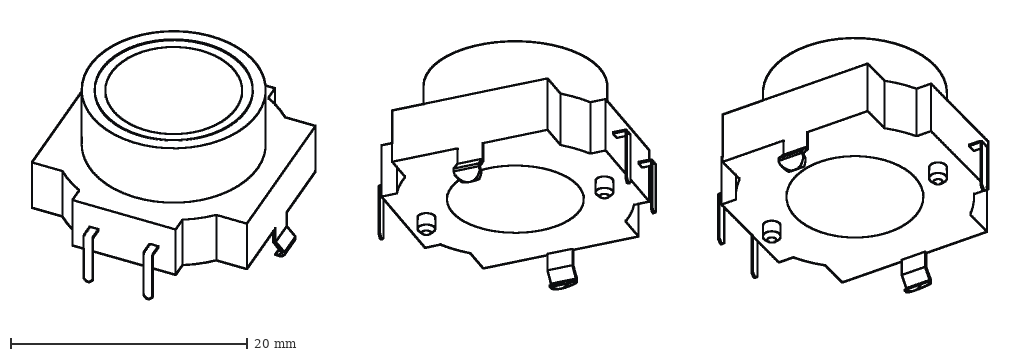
import cadquery as cq

LENGTH_X = 19.95
LENGTH_Y = 20.6
X_BLOCK_WIDTH = 14.25
Y_BLOCK_WIDTH = 9.58
DISC_DIAMETER = 20.19
BASE_HEIGHT = 5.0
TOP_Z = 10.97
COLLAR_DIAMETER = 15.6
RECESS_DIAMETER = 13.4
RECESS_DEPTH = 0.1
BORE_DIAMETER = 11.6

PIN_DIAMETER = 1.5
PIN_LENGTH = 1.48
PIN_CHAMFER = 0.37
PIN_Y = 8.17

LEAD_REACH_Y = 11.58
LEAD_TOP_Z = 2.62
LEAD_TIP_Z = -2.35
LEAD_WIDTH = 0.8
LEAD_THICKNESS = 0.15
LEAD_BEND_RADIUS = 0.19
LEAD_TIP_CHAMFER = 0.29
LEAD_EMBED = 0.23
FRONT_LEAD_X = 2.78
REAR_LEAD_X = -1.97

CLIP_WIDTH = 2.3
CLIP_THICKNESS = 0.23
CLIP_REACH_X = 10.79
CLIP_BEND_Z = -1.5
CLIP_INNER_BEND_Z = -1.6
KNEE_TOP_Z = -2.38
KNEE_BOTTOM_Z = -2.66
KNEE_THICKNESS = 0.28
KNEE_INNER_TOP_Z = -2.5
KNEE_INNER_BOTTOM_Z = -2.6
CLIP_TIP_Z = -3.52
CLIP_TIP_INNER_Z = CLIP_TIP_Z + CLIP_THICKNESS
CLIP_ROUND_START_Z = -2.9


def make_housing():
    x_block = cq.Workplane("XY").rect(LENGTH_X, X_BLOCK_WIDTH).extrude(BASE_HEIGHT)
    y_block = cq.Workplane("XY").rect(Y_BLOCK_WIDTH, LENGTH_Y).extrude(BASE_HEIGHT)
    envelope = cq.Workplane("XY").rect(LENGTH_X, LENGTH_Y).extrude(BASE_HEIGHT)
    disc = cq.Workplane("XY").circle(DISC_DIAMETER / 2).extrude(BASE_HEIGHT).intersect(envelope)
    collar = cq.Workplane("XY").circle(COLLAR_DIAMETER / 2).extrude(TOP_Z)
    bore = cq.Workplane("XY").circle(BORE_DIAMETER / 2).extrude(TOP_Z)
    recess = (
        cq.Workplane("XY", origin=(0, 0, TOP_Z - RECESS_DEPTH))
        .circle(RECESS_DIAMETER / 2)
        .extrude(RECESS_DEPTH)
    )
    return x_block.union(y_block).union(disc).union(collar).cut(bore).cut(recess)


def make_pin(y):
    return (
        cq.Workplane("XY", origin=(0, y, 0))
        .circle(PIN_DIAMETER / 2)
        .extrude(-PIN_LENGTH)
        .faces("<Z")
        .chamfer(PIN_CHAMFER)
    )


def make_lead(x, side):
    """Lead leaving the Y block toward side * Y, then bending straight down."""
    root_y = side * (LENGTH_Y / 2 - LEAD_EMBED)
    outer_y = side * LEAD_REACH_Y
    inner_y = side * (LEAD_REACH_Y - LEAD_THICKNESS)
    lead = (
        cq.Workplane("YZ", origin=(x, 0, 0))
        .moveTo(root_y, LEAD_TOP_Z)
        .lineTo(outer_y, LEAD_TOP_Z)
        .lineTo(outer_y, LEAD_TIP_Z)
        .lineTo(inner_y, LEAD_TIP_Z)
        .lineTo(inner_y, LEAD_TOP_Z - LEAD_THICKNESS)
        .lineTo(root_y, LEAD_TOP_Z - LEAD_THICKNESS)
        .close()
        .extrude(LEAD_WIDTH / 2, both=True)
    )
    outer_face = ">Y" if side > 0 else "<Y"
    lead = lead.faces(outer_face).edges(">Z").fillet(LEAD_BEND_RADIUS)
    return lead.faces("<Z").edges("|Y").chamfer(LEAD_TIP_CHAMFER)


def make_clip():
    """Clip on the +X end: a flush strip, a kink outward and a round-ended return."""
    face_x = LENGTH_X / 2
    back_x = face_x - CLIP_THICKNESS
    knee_inner_x = CLIP_REACH_X - KNEE_THICKNESS
    strip = (
        cq.Workplane("XZ")
        .polyline([
            (back_x, BASE_HEIGHT),
            (face_x, BASE_HEIGHT),
            (face_x, CLIP_BEND_Z),
            (CLIP_REACH_X, KNEE_TOP_Z),
            (CLIP_REACH_X, KNEE_BOTTOM_Z),
            (face_x, CLIP_TIP_Z),
            (back_x, CLIP_TIP_INNER_Z),
            (knee_inner_x, KNEE_INNER_BOTTOM_Z),
            (knee_inner_x, KNEE_INNER_TOP_Z),
            (back_x, CLIP_INNER_BEND_Z),
        ])
        .close()
        .extrude(CLIP_WIDTH / 2, both=True)
    )
    rounded_outline = (
        cq.Workplane("YZ")
        .moveTo(-CLIP_WIDTH / 2, BASE_HEIGHT)
        .lineTo(-CLIP_WIDTH / 2, CLIP_ROUND_START_Z)
        .threePointArc((0, CLIP_TIP_Z), (CLIP_WIDTH / 2, CLIP_ROUND_START_Z))
        .lineTo(CLIP_WIDTH / 2, BASE_HEIGHT)
        .close()
        .extrude(CLIP_REACH_X)
    )
    return strip.intersect(rounded_outline)


result = make_housing()

for pin_y in (-PIN_Y, PIN_Y):
    result = result.union(make_pin(pin_y))

for lead_x, lead_side in ((-FRONT_LEAD_X, -1), (FRONT_LEAD_X, -1), (REAR_LEAD_X, 1)):
    result = result.union(make_lead(lead_x, lead_side))

clip = make_clip()
result = result.union(clip).union(clip.mirror("YZ"))